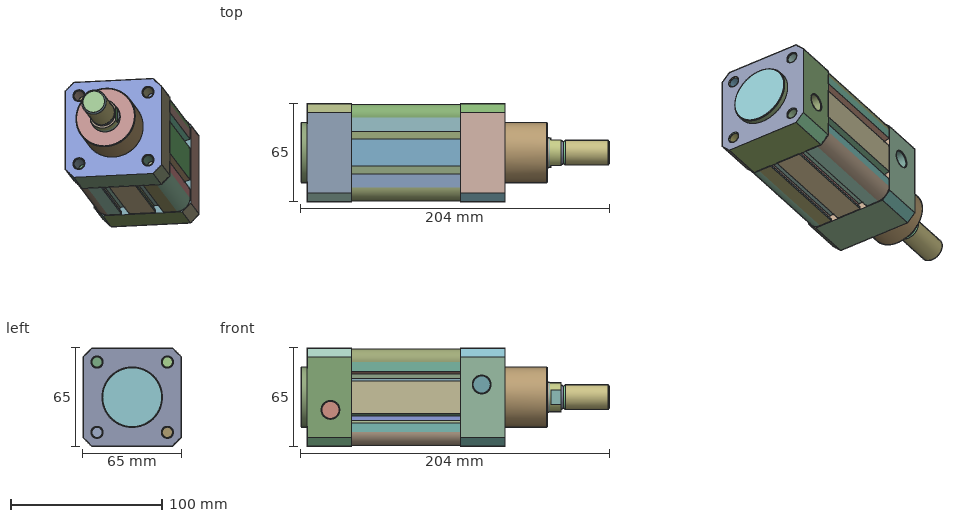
import cadquery as cq

CAP_SIDE = 65.0
TUBE_SIDE = 64.0
CAP_LENGTH = 29.5
CAP_CHAMFER = 5.8
TUBE_LENGTH = 72.0
REAR_SPIGOT_LENGTH = 4.0
SPIGOT_DIAMETER = 40.0
SPIGOT_CHAMFER = 0.5
FRONT_SPIGOT_LENGTH = 28.0

FIXING_SPACING = 46.5
FIXING_CORE = 6.8
FIXING_MOUTH = 8.0
FIXING_DEPTH = 16.0
PORT_CORE = 11.4
PORT_MOUTH = 12.4
PORT_DEPTH = 15.0
PORT_FROM_CAP_END = 15.5
PORT_HEIGHT = 8.4

SIDE_GROOVE_OFFSET = 13.9
SIDE_GROOVE_MOUTH = 6.2
SIDE_GROOVE_FLOOR = 3.0
SIDE_GROOVE_DEPTH = 5.25
TOP_GROOVE_OFFSET = 11.5
TOP_GROOVE_MOUTH = 5.2
TOP_GROOVE_LIP = 1.5
TOP_GROOVE_INNER_WIDTH = 7.2
TOP_GROOVE_DEPTH = 4.75

SHANK_DIAMETER = 20.0
SHANK_PROTRUSION = 0.7
SHANK_TAPER_LENGTH = 1.1
WRENCH_DIAMETER = 19.4
SHOULDER_FROM_SPIGOT = 9.0
FLATS_ACROSS = 17.0
FLATS_LENGTH = 6.7
NECK_DIAMETER = 14.5
NECK_FALL = 1.6
NECK_RISE = 1.3
THREAD_DIAMETER = 16.5
THREAD_CHAMFER = 1.0
TOTAL_LENGTH = 204.0

CAP_HALF = CAP_SIDE / 2
TUBE_HALF = TUBE_SIDE / 2
REAR_CAP_START = REAR_SPIGOT_LENGTH
TUBE_START = REAR_CAP_START + CAP_LENGTH
TUBE_END = TUBE_START + TUBE_LENGTH
FRONT_CAP_END = TUBE_END + CAP_LENGTH
SPIGOT_END = FRONT_CAP_END + FRONT_SPIGOT_LENGTH
ROD_SHOULDER = SPIGOT_END + SHOULDER_FROM_SPIGOT
FLATS_START = ROD_SHOULDER - FLATS_LENGTH
NECK_BOTTOM = ROD_SHOULDER + NECK_FALL
THREAD_START = NECK_BOTTOM + NECK_RISE
TAPER_START = SPIGOT_END + SHANK_PROTRUSION


def tapped_hole(mouth, inward, core_diameter, mouth_diameter, depth):
    """Blind hole with a 45 degree countersink, starting at `mouth` and running along `inward`."""
    core_radius = core_diameter / 2
    mouth_radius = mouth_diameter / 2
    sink = mouth_radius - core_radius
    core = cq.Solid.makeCylinder(core_radius, depth, mouth, inward)
    countersink = cq.Solid.makeCone(mouth_radius, core_radius, sink, mouth, inward)
    return core.fuse(countersink)


def end_cap(start, fixing_face, inward, port_x, port_z):
    """Chamfered square block with four fixing holes in its end face and one air port on the -Y side."""
    cap = cq.Workplane("YZ", origin=(start, 0, 0)).rect(CAP_SIDE, CAP_SIDE).extrude(CAP_LENGTH)
    cap = cap.edges("|X").chamfer(CAP_CHAMFER)
    for y_side in (-1, 1):
        for z_side in (-1, 1):
            mouth = cq.Vector(fixing_face, y_side * FIXING_SPACING / 2, z_side * FIXING_SPACING / 2)
            cap = cap.cut(tapped_hole(mouth, inward, FIXING_CORE, FIXING_MOUTH, FIXING_DEPTH))
    port_mouth = cq.Vector(port_x, -CAP_HALF, port_z)
    return cap.cut(tapped_hole(port_mouth, cq.Vector(0, 1, 0), PORT_CORE, PORT_MOUTH, PORT_DEPTH))


def spigot(start, length, outer_face):
    """Round centring spigot with its outer rim chamfered."""
    disc = cq.Workplane("YZ", origin=(start, 0, 0)).circle(SPIGOT_DIAMETER / 2).extrude(length)
    return disc.faces(outer_face).chamfer(SPIGOT_CHAMFER)


def make_rear_cap():
    cap = end_cap(REAR_CAP_START, REAR_CAP_START, cq.Vector(1, 0, 0),
                  REAR_CAP_START + PORT_FROM_CAP_END, -PORT_HEIGHT)
    return cap.union(spigot(0, REAR_SPIGOT_LENGTH, "<X"))


def make_front_cap():
    cap = end_cap(TUBE_END, FRONT_CAP_END, cq.Vector(-1, 0, 0),
                  FRONT_CAP_END - PORT_FROM_CAP_END, PORT_HEIGHT)
    cap = cap.union(spigot(FRONT_CAP_END, FRONT_SPIGOT_LENGTH, ">X"))
    rod_bore = cq.Workplane("YZ", origin=(TUBE_END, 0, 0)).circle(SHANK_DIAMETER / 2)
    return cap.cut(rod_bore.extrude(SPIGOT_END - TUBE_END))


def side_groove():
    """Tapered groove open towards +Y, centred on Z = 0."""
    floor = TUBE_HALF - SIDE_GROOVE_DEPTH
    return cq.Workplane("YZ", origin=(TUBE_START, 0, 0)).polyline([
        (TUBE_HALF, -SIDE_GROOVE_MOUTH / 2),
        (TUBE_HALF, SIDE_GROOVE_MOUTH / 2),
        (floor, SIDE_GROOVE_FLOOR / 2),
        (floor, -SIDE_GROOVE_FLOOR / 2),
    ]).close().extrude(TUBE_LENGTH)


def top_groove():
    """T-groove open towards +Z, centred on Y = 0."""
    lip_edge = TOP_GROOVE_MOUTH / 2
    inner_edge = TOP_GROOVE_INNER_WIDTH / 2
    lip_underside = TUBE_HALF - TOP_GROOVE_LIP
    floor = TUBE_HALF - TOP_GROOVE_DEPTH
    return cq.Workplane("YZ", origin=(TUBE_START, 0, 0)).polyline([
        (-lip_edge, TUBE_HALF),
        (-lip_edge, lip_underside),
        (-inner_edge, lip_underside),
        (-inner_edge, floor),
        (inner_edge, floor),
        (inner_edge, lip_underside),
        (lip_edge, lip_underside),
        (lip_edge, TUBE_HALF),
    ]).close().extrude(TUBE_LENGTH)


def make_tube():
    tube = cq.Workplane("YZ", origin=(TUBE_START, 0, 0)).rect(TUBE_SIDE, TUBE_SIDE).extrude(TUBE_LENGTH)
    tube = tube.edges("|X").fillet((TUBE_SIDE - FIXING_SPACING) / 2)
    for turn in (0, 180):
        for side in (-1, 1):
            groove = side_groove().translate((0, 0, side * SIDE_GROOVE_OFFSET))
            tube = tube.cut(groove.rotate((0, 0, 0), (1, 0, 0), turn))
            groove = top_groove().translate((0, side * TOP_GROOVE_OFFSET, 0))
            tube = tube.cut(groove.rotate((0, 0, 0), (1, 0, 0), turn))
    return tube


def make_rod():
    """Stepped rod: plain shank, relief neck and threaded end, with two spanner flats."""
    shank_radius = SHANK_DIAMETER / 2
    wrench_radius = WRENCH_DIAMETER / 2
    thread_radius = THREAD_DIAMETER / 2
    rod = cq.Workplane("XY").polyline([
        (TUBE_END, 0),
        (TUBE_END, shank_radius),
        (TAPER_START, shank_radius),
        (TAPER_START + SHANK_TAPER_LENGTH, wrench_radius),
        (ROD_SHOULDER, wrench_radius),
        (ROD_SHOULDER, thread_radius),
        (NECK_BOTTOM, NECK_DIAMETER / 2),
        (THREAD_START, thread_radius),
        (TOTAL_LENGTH - THREAD_CHAMFER, thread_radius),
        (TOTAL_LENGTH, thread_radius - THREAD_CHAMFER),
        (TOTAL_LENGTH, 0),
    ]).close().revolve(360, (0, 0, 0), (1, 0, 0))
    flat_cut = cq.Workplane("XY").box(FLATS_LENGTH, SHANK_DIAMETER, SHANK_DIAMETER)
    for side in (-1, 1):
        flat_y = side * (FLATS_ACROSS + SHANK_DIAMETER) / 2
        rod = rod.cut(flat_cut.translate((FLATS_START + FLATS_LENGTH / 2, flat_y, 0)))
    return rod


rear_cap = make_rear_cap()
tube = make_tube()
front_cap = make_front_cap()
rod = make_rod()

result = cq.Compound.makeCompound([rear_cap.val(), tube.val(), front_cap.val(), rod.val()])